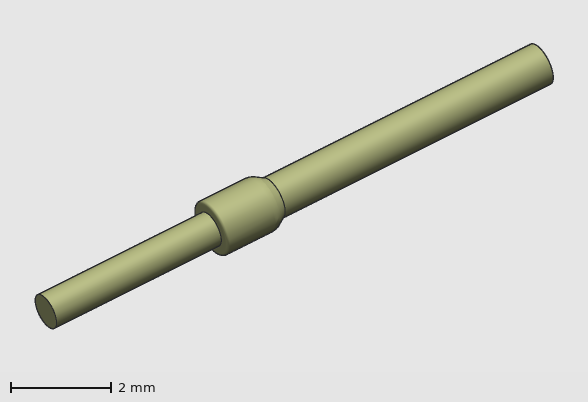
import cadquery as cq
import math

total_length = 12.0
pin_length = 4.0
collar_length = 1.5
pin_diameter = 0.75
collar_diameter = 1.2
shaft_diameter = 0.9

front_edge_radius = 0.06
taper_angle = 30.0
taper_blend_radius = 0.3

pin_radius = pin_diameter / 2
collar_radius = collar_diameter / 2
shaft_radius = shaft_diameter / 2

pin_end = -total_length / 2
shaft_end = total_length / 2
collar_front = pin_end + pin_length
collar_rear = collar_front + collar_length


def cylinder(radius, start, end):
    """Solid cylinder on the Y axis between two stations."""
    return cq.Workplane("XZ", origin=(0, start, 0)).circle(radius).extrude(start - end)


def collar():
    """Collar with a rounded front edge and a rear cone blended into its outside."""
    slope = math.radians(taper_angle)
    blend_centre_radius = collar_radius - taper_blend_radius

    blend_start_radius = blend_centre_radius + taper_blend_radius * math.cos(slope)
    blend_start = collar_rear - (blend_start_radius - shaft_radius) / math.tan(slope)
    blend_end = blend_start - taper_blend_radius * math.sin(slope)
    blend_middle = (
        blend_centre_radius + taper_blend_radius * math.cos(slope / 2),
        blend_end + taper_blend_radius * math.sin(slope / 2),
    )

    round_centre_radius = collar_radius - front_edge_radius
    round_end = collar_front + front_edge_radius
    round_middle = (
        round_centre_radius + front_edge_radius * math.sin(math.pi / 4),
        round_end - front_edge_radius * math.cos(math.pi / 4),
    )

    return (
        cq.Workplane("XY")
        .moveTo(0, collar_front)
        .lineTo(round_centre_radius, collar_front)
        .threePointArc(round_middle, (collar_radius, round_end))
        .lineTo(collar_radius, blend_end)
        .threePointArc(blend_middle, (blend_start_radius, blend_start))
        .lineTo(shaft_radius, collar_rear)
        .lineTo(0, collar_rear)
        .close()
        .revolve(360, (0, 0, 0), (0, 1, 0))
    )


pin = cylinder(pin_radius, pin_end, collar_front)
shaft = cylinder(shaft_radius, collar_rear, shaft_end)

result = collar().union(pin).union(shaft)